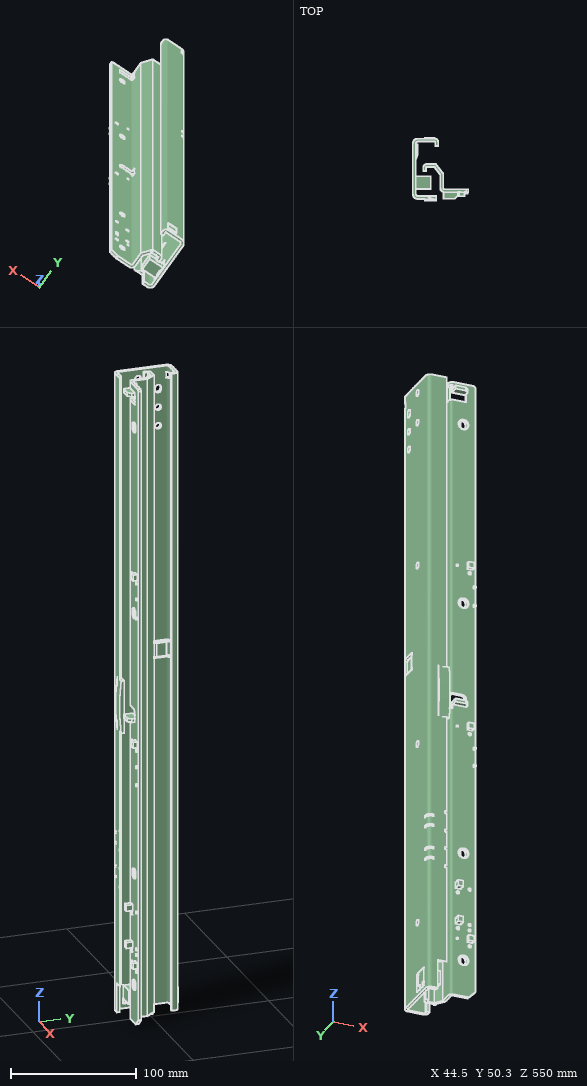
import cadquery as cq
import math


total_width = 44.45
total_depth = 50.3
total_height = 550.0

front_bump_height = 1.2
rear_bump_height = 0.7
nib_length = 1.4
rail_depth = total_depth - front_bump_height - rear_bump_height
length = total_height - nib_length

rail_thickness = 2.5
rail_bend = 4.2
rail_flange = 20.5
rail_lip = 6.0
lip_bend = 3.0
toe_length = 3.6
toe_drop = 1.2

flange_bump_x = (9.5, 19.0)
front_bump_z = 266.6
front_bump_length = 45.0
front_bump_flat = 15.0
rear_bump_z = 11.9
rear_bump_length = 13.0

web_slot_y = 37.3
web_slot_width = 5.0
web_slot_length = 6.6
web_slot_z = 529.7
web_hole_pitch = 16.0
web_hole_diameter = 5.0
screw_hole_y = 20.3
screw_hole_z = (65.9, 225.9, 385.9, 513.9, 540.5)

pressed_z = 305.4
pressed_height = 13.2
pressed_y = (31.6, 44.0)
pressed_ramp = 4.0
pressed_offset = 1.5
slit = 1.6

corner_pair_z = (120.2, 149.4)
corner_pair_gap = 9.0
corner_slit_reach = 5.5
corner_notch_z = 540.5
corner_notch_height = 5.0

edge_hole_x = 16.2
edge_hole_diameter = 2.5
edge_hole_z = (110.3, 126.6, 142.2, 158.8)

window_y = (7.6, 21.6)
window_z = (4.0, 20.0)
stop_y = (8.0, 18.4)
stop_z = (8.0, 20.0)
stop_reach = 14.6
foot_width = 4.5
flange_notch_x = 9.0
flange_notch_height = 25.0

bracket_thickness = 2.5
flange_front = 5.5
flange_back = flange_front + bracket_thickness
hook_left = 8.3
hook_end_y = 22.4
bridge_y = 28.1
bridge_right = 18.4
wall_right = 24.5
wall_top_y = 20.3
bracket_bend = 3.2
hook_bend = 3.0

bottom_chamfer = 6.0
top_chamfer = 1.6
mount_x = 33.9
mount_z = (32.4, 128.4, 352.4, 512.4)
mount_recess = 8.6
mount_recess_depth = 1.0
mount_slot_width = 4.6
mount_slot_length = 7.4

opening_left = 20.5
opening_right = 36.3
top_opening_z = (532.8, 543.0)
middle_opening_z = (259.6, 270.0)
middle_opening_round = 4.0
tab_left = 24.5
tab_corner = 2.8
relief_height = 3.0
tab_front = 0.1
tab_thickness = 3.0

outer_hook_x = 39.2
outer_hook_z = (49.2, 239.5, 383.5)
outer_hook_front = 2.1
inner_hook_x = 29.0
inner_hook_z = (63.5, 95.5)
inner_hook_front = 0.1
hook_width = 4.6
hook_height = 5.0
pilot_rise = 1.6
hook_pin_hole = 2.4
hook_pin_drop = 3.4
pilot_x = 28.4
pilot_diameter = 1.5
dot_x = 39.2
dot_z = (60.2, 65.0, 96.7)
dot_diameter = 2.2

nub_x = 43.2
nub_z = (208.0, 223.5, 351.5, 368.0)
nub_diameter = 2.0
nub_height = 1.4

nib_x = (17.4, 18.6)
nib_y = (25.7, 26.9)


def block(x, y, z):
    """Box between pairs of limits along the three axes."""
    return (
        cq.Workplane("XY")
        .box(x[1] - x[0], y[1] - y[0], z[1] - z[0], centered=False)
        .translate((x[0], y[0], z[0]))
    )


def around(middle, size):
    """Limits of a span with the given middle and size."""
    return (middle - size / 2, middle + size / 2)


def pin_along_x(diameter, x, y, z):
    """Round pin along X between two X limits."""
    return cq.Workplane("YZ").center(y, z).circle(diameter / 2).extrude(x[1] - x[0]).translate((x[0], 0, 0))


def pin_along_y(diameter, x, y, z):
    """Round pin along Y between two Y limits."""
    return cq.Workplane("XZ").center(x, z).circle(diameter / 2).extrude(y[0] - y[1]).translate((0, y[0], 0))


def rail_profile():
    """C section with a rounded toe on the front flange and a rear flange bent into a lip."""
    inner_bend = rail_bend - rail_thickness
    outer = block((0, rail_flange), (0, rail_depth), (0, length))
    outer = outer.edges("|Z and <X").fillet(rail_bend)
    outer = outer.edges("|Z and >X and >Y").fillet(lip_bend)
    inside = block(
        (rail_thickness, rail_flange - rail_thickness),
        (rail_thickness, rail_depth - rail_thickness),
        (0, length),
    )
    inside = inside.edges("|Z and <X").fillet(inner_bend)
    mouth = block((rail_flange / 2, rail_flange), (rail_thickness, rail_depth - rail_lip), (0, length))
    toe = (
        cq.Workplane("XY")
        .moveTo(rail_flange, 0)
        .lineTo(rail_flange - toe_length, 0)
        .tangentArcPoint((rail_flange, toe_drop), relative=False)
        .close()
        .extrude(length)
    )
    return outer.cut(inside).cut(mouth).cut(toe)


def front_bump():
    """Stretch of the front flange pushed outward, with a ramp on each side of a flat."""
    half = front_bump_length / 2
    flat = front_bump_flat / 2
    x_start, x_end = flange_bump_x
    outline = [
        (rail_thickness, -half),
        (0, -half),
        (-front_bump_height, -flat),
        (-front_bump_height, flat),
        (0, half),
        (rail_thickness, half),
    ]
    return (
        cq.Workplane("YZ")
        .polyline(outline)
        .close()
        .extrude(x_end - x_start)
        .translate((x_start, 0, front_bump_z))
    )


def rear_bump():
    """Flat pad on the rear flange near the lower end."""
    return block(
        (flange_bump_x[0], rail_flange - lip_bend),
        (rail_depth, rail_depth + rear_bump_height),
        around(rear_bump_z, rear_bump_length),
    )


def web_holes():
    """Row of one slot and two round holes, and the line of screw holes."""
    through = (0, rail_thickness)
    cutter = (
        cq.Workplane("YZ")
        .center(web_slot_y, web_slot_z)
        .slot2D(web_slot_length, web_slot_width, 90)
        .extrude(rail_thickness)
    )
    for step in (1, 2):
        hole_z = web_slot_z - step * web_hole_pitch
        cutter = cutter.add(pin_along_x(web_hole_diameter, through, web_slot_y, hole_z))
    for z in screw_hole_z:
        cutter = cutter.add(pin_along_x(web_hole_diameter, through, screw_hole_y, z))
    return cutter.combine()


def pressed_strip(rail):
    """Strip of the web pushed inward between two slits, with a ramp at its front end."""
    strip_z = around(pressed_z, pressed_height - slit)
    strip = (
        cq.Workplane("XY")
        .polyline(
            [
                (0, pressed_y[0]),
                (pressed_offset, pressed_y[0] + pressed_ramp),
                (pressed_offset, pressed_y[1]),
                (0, pressed_y[1]),
            ]
        )
        .close()
        .extrude(strip_z[1] - strip_z[0])
        .translate((0, 0, strip_z[0]))
    )
    rail = rail.union(strip.translate((rail_thickness, 0, 0))).cut(strip)
    for side in (-1, 1):
        slit_z = around(pressed_z + side * pressed_height / 2, slit)
        rail = rail.cut(block((0, rail_thickness + pressed_offset), (pressed_y[0], rail_depth), slit_z))
    return rail


def corner_cuts(rail):
    """Slit pairs in the front bend, small holes in the front flange and a notch in the rear bend."""
    for middle in corner_pair_z:
        for side in (-1, 1):
            slit_z = around(middle + side * corner_pair_gap / 2, slit)
            rail = rail.cut(block((0, corner_slit_reach), (0, corner_slit_reach), slit_z))
    for z in edge_hole_z:
        rail = rail.cut(pin_along_y(edge_hole_diameter, edge_hole_x, (0, rail_thickness), z))
    notch_z = around(corner_notch_z, corner_notch_height)
    return rail.cut(block((0, rail_bend), (rail_depth - rail_bend, rail_depth), notch_z))


def make_rail():
    rail = rail_profile().union(front_bump()).union(rear_bump()).cut(web_holes())
    rail = corner_cuts(pressed_strip(rail))
    rail = rail.cut(block((0, rail_thickness), window_y, window_z))
    return rail.cut(block((flange_notch_x, rail_flange), (0, rail_thickness), (0, flange_notch_height)))


def make_stop():
    """Block held between the upper and lower edges of the web window, standing on a narrow foot."""
    body = block((0, stop_reach), stop_y, stop_z)
    foot_y = around(sum(stop_y) / 2, foot_width)
    return body.union(block((0, rail_thickness), foot_y, (window_z[0], stop_z[0])))


def bracket_profile():
    """Bent sheet: hook, bridge, sloping part, wall and mounting flange."""
    t = bracket_thickness
    slope = math.atan2(bridge_y - wall_top_y, wall_right - bridge_right)
    inner_bridge_right = bridge_right - t * math.tan(slope / 2)
    inner_wall_top = wall_top_y - t * math.tan((math.pi / 2 - slope) / 2)
    outline = [
        (hook_left, hook_end_y),
        (hook_left, bridge_y),
        (bridge_right, bridge_y),
        (wall_right, wall_top_y),
        (wall_right, flange_back),
        (total_width, flange_back),
        (total_width, flange_front),
        (wall_right - t, flange_front),
        (wall_right - t, inner_wall_top),
        (inner_bridge_right, bridge_y - t),
        (hook_left + t, bridge_y - t),
        (hook_left + t, hook_end_y),
    ]
    sheet = cq.Workplane("XY").polyline(outline).close().extrude(length)
    sheet = bend(sheet, (hook_left, bridge_y), hook_bend)
    sheet = bend(sheet, (wall_right - t, flange_front), bracket_bend)
    return bend(sheet, (wall_right, flange_back), bracket_bend - t)


def bend(sheet, corner, radius):
    """Round the upright edge at a corner of the section."""
    return sheet.edges(cq.NearestToPointSelector((*corner, length / 2))).fillet(radius)


def trim_corners(bracket):
    """Large chamfer at the lower free corner of the flange, small one at the upper."""
    bracket = bracket.edges("|Y and >X and <Z").chamfer(bottom_chamfer)
    return bracket.edges("|Y and >X and >Z").chamfer(top_chamfer)


def mount_holes():
    """Upright slots in round recesses."""
    cutter = cq.Workplane("XY")
    for z in mount_z:
        slot = (
            cq.Workplane("XZ")
            .center(mount_x, z)
            .slot2D(mount_slot_length, mount_slot_width, 90)
            .extrude(-flange_back)
        )
        recess = pin_along_y(mount_recess, mount_x, (flange_front, flange_front + mount_recess_depth), z)
        cutter = cutter.add(slot).add(recess)
    return cutter.combine()


def openings(bracket):
    """Upper and middle openings through flange and bend, each with a forward tab and a relief cut."""
    opening_x = (opening_left, opening_right)
    opening_y = (flange_front, flange_back + bracket_bend)
    middle = block(opening_x, opening_y, middle_opening_z)
    middle = middle.edges("|Y and >X and >Z").fillet(middle_opening_round)
    bracket = bracket.cut(block(opening_x, opening_y, top_opening_z)).cut(middle)
    upper_tab_z = (top_opening_z[1] - tab_thickness, top_opening_z[1])
    middle_tab_z = (middle_opening_z[0], middle_opening_z[0] + tab_thickness)
    relief_x = (opening_left, tab_left)
    upper_relief_z = (top_opening_z[1], top_opening_z[1] + relief_height)
    middle_relief_z = (middle_opening_z[0] - relief_height, middle_opening_z[0])
    for relief_z in (upper_relief_z, middle_relief_z):
        bracket = bracket.cut(block(relief_x, opening_y, relief_z))
    for tab_z in (upper_tab_z, middle_tab_z):
        tab = block((tab_left, opening_right), (tab_front, flange_back), tab_z)
        bracket = bracket.union(tab.edges("|Z and >X and <Y").chamfer(tab_corner))
    return bracket


def hook_catch(bracket, x, front, z):
    """Catch standing forward of the flange, with a small hole below it."""
    through = (flange_front, flange_back)
    bracket = bracket.union(block(around(x, hook_width), (front, flange_front), (z, z + hook_height)))
    return bracket.cut(pin_along_y(hook_pin_hole, x, through, z - hook_pin_drop))


def make_bracket():
    bracket = openings(trim_corners(bracket_profile()).cut(mount_holes()))
    through = (flange_front, flange_back)
    for z in outer_hook_z:
        bracket = hook_catch(bracket, outer_hook_x, outer_hook_front, z)
        bracket = bracket.cut(pin_along_y(pilot_diameter, pilot_x, through, z + pilot_rise))
    for z in inner_hook_z:
        bracket = hook_catch(bracket, inner_hook_x, inner_hook_front, z)
    for z in dot_z:
        bracket = bracket.cut(pin_along_y(dot_diameter, dot_x, through, z))
    nub_y = (flange_front - nub_height, flange_front)
    for z in nub_z:
        bracket = bracket.union(pin_along_y(nub_diameter, nub_x, nub_y, z))
    return bracket.union(block(nib_x, nib_y, (-nib_length, bracket_thickness)))


rail = make_rail()
stop = make_stop()
bracket = make_bracket()
result = cq.Compound.makeCompound([rail.val(), stop.val(), bracket.val()])